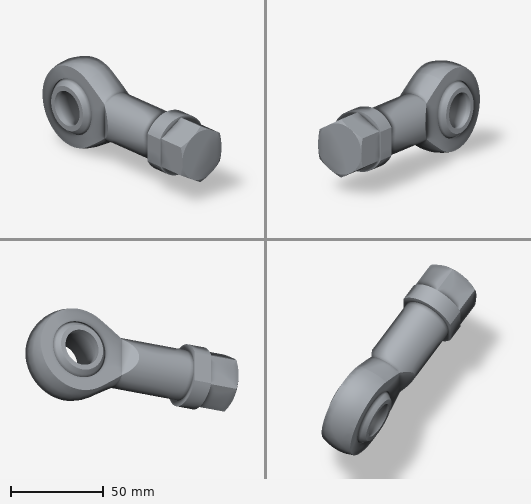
import cadquery as cq
import math

LENGTH = 118.9

EYE_RADIUS = 25.0
EYE_WIDTH = 18.3
RIM_DIAMETER = 31.9

BALL_RADIUS = 17.8
BALL_WIDTH = 25.0
BORE_DIAMETER = 20.0

SHANK_RADIUS = 27.5 / 2
BEVEL_ANGLE = 30.0
CONE_ANGLE = 30.3

COLLAR_DIAMETER = 34.0
COLLAR_LENGTH = 10.0
FLATS_WIDTH = 30.0
GROOVE_WIDTH = 0.4
HEX_ACROSS_FLATS = 28.5
HEX_LENGTH = 16.6
HEX_CHAMFER_ANGLE = 30.0

END_X = LENGTH - EYE_RADIUS
HEX_X = END_X - HEX_LENGTH
COLLAR_X = HEX_X - GROOVE_WIDTH - COLLAR_LENGTH
TANGENT_X = EYE_RADIUS * math.sin(math.radians(CONE_ANGLE))
TANGENT_RADIUS = EYE_RADIUS * math.cos(math.radians(CONE_ANGLE))
SHANK_X = TANGENT_X + (TANGENT_RADIUS - SHANK_RADIUS) / math.tan(math.radians(CONE_ANGLE))
BEVEL_RISE = SHANK_RADIUS - EYE_WIDTH / 2
BEVEL_END_X = SHANK_X + BEVEL_RISE / math.tan(math.radians(BEVEL_ANGLE))


def eye_and_shank():
    """Spherical eye, neck cone and shank, revolved about X and flattened to the eye width."""
    arc_angle = math.radians((90 + CONE_ANGLE) / 2)
    arc_middle = (-EYE_RADIUS * math.cos(arc_angle), EYE_RADIUS * math.sin(arc_angle))
    revolved = (
        cq.Workplane("XY")
        .moveTo(-EYE_RADIUS, 0)
        .threePointArc(arc_middle, (TANGENT_X, TANGENT_RADIUS))
        .lineTo(SHANK_X, SHANK_RADIUS)
        .lineTo(HEX_X, SHANK_RADIUS)
        .lineTo(HEX_X, 0)
        .close()
        .revolve(360, (0, 0, 0), (1, 0, 0))
    )
    for side in (-1, 1):
        relief = (
            cq.Workplane("XY")
            .workplane(offset=-LENGTH / 2)
            .moveTo(-LENGTH, side * EYE_WIDTH / 2)
            .lineTo(SHANK_X, side * EYE_WIDTH / 2)
            .lineTo(BEVEL_END_X, side * SHANK_RADIUS)
            .lineTo(BEVEL_END_X, side * LENGTH)
            .lineTo(-LENGTH, side * LENGTH)
            .close()
            .extrude(LENGTH)
        )
        revolved = revolved.cut(relief)
    return revolved


def collar():
    """Round collar with a wrench flat on each Y side."""
    disc = cq.Workplane("YZ").workplane(offset=COLLAR_X).circle(COLLAR_DIAMETER / 2).extrude(COLLAR_LENGTH)
    flats = (
        cq.Workplane("YZ")
        .workplane(offset=COLLAR_X)
        .rect(FLATS_WIDTH, COLLAR_DIAMETER)
        .extrude(COLLAR_LENGTH)
    )
    return disc.intersect(flats)


def hex_end():
    """Hexagon with two faces square to Y, its end corners trimmed by a cone."""
    across_corners = HEX_ACROSS_FLATS / math.cos(math.radians(30))
    prism = (
        cq.Workplane("YZ")
        .workplane(offset=HEX_X)
        .transformed(rotate=(0, 0, 90))
        .polygon(6, across_corners)
        .extrude(HEX_LENGTH)
    )
    end_radius = HEX_ACROSS_FLATS / 2
    corner_radius = across_corners / 2
    chamfer_length = (corner_radius - end_radius) * math.tan(math.radians(HEX_CHAMFER_ANGLE))
    cone = (
        cq.Workplane("XY")
        .moveTo(HEX_X, 0)
        .lineTo(HEX_X, corner_radius)
        .lineTo(END_X - chamfer_length, corner_radius)
        .lineTo(END_X, end_radius)
        .lineTo(END_X, 0)
        .close()
        .revolve(360, (0, 0, 0), (1, 0, 0))
    )
    return prism.intersect(cone)


def truncated_sphere():
    """Sphere about the Y axis with both ends cut flat at the ball width."""
    half_width = BALL_WIDTH / 2
    flat_radius = math.sqrt(BALL_RADIUS**2 - half_width**2)
    return (
        cq.Workplane("XY")
        .moveTo(0, -half_width)
        .lineTo(flat_radius, -half_width)
        .threePointArc((BALL_RADIUS, 0), (flat_radius, half_width))
        .lineTo(0, half_width)
        .close()
        .revolve(360, (0, 0, 0), (0, 1, 0))
    )


def make_rod_end():
    """Rod end with a spherical seat that opens through a cylindrical rim on each face."""
    rim = cq.Workplane("XZ").circle(RIM_DIAMETER / 2).extrude(EYE_WIDTH / 2, both=True)
    return eye_and_shank().cut(rim).cut(truncated_sphere()).union(collar()).union(hex_end())


def make_ball():
    """Ball truncated to its width, with a plain through bore along Y."""
    bore = cq.Workplane("XZ").circle(BORE_DIAMETER / 2).extrude(BALL_WIDTH, both=True)
    return truncated_sphere().cut(bore)


rod_end = make_rod_end()
ball = make_ball()
result = cq.Compound.makeCompound([rod_end.val(), ball.val()])